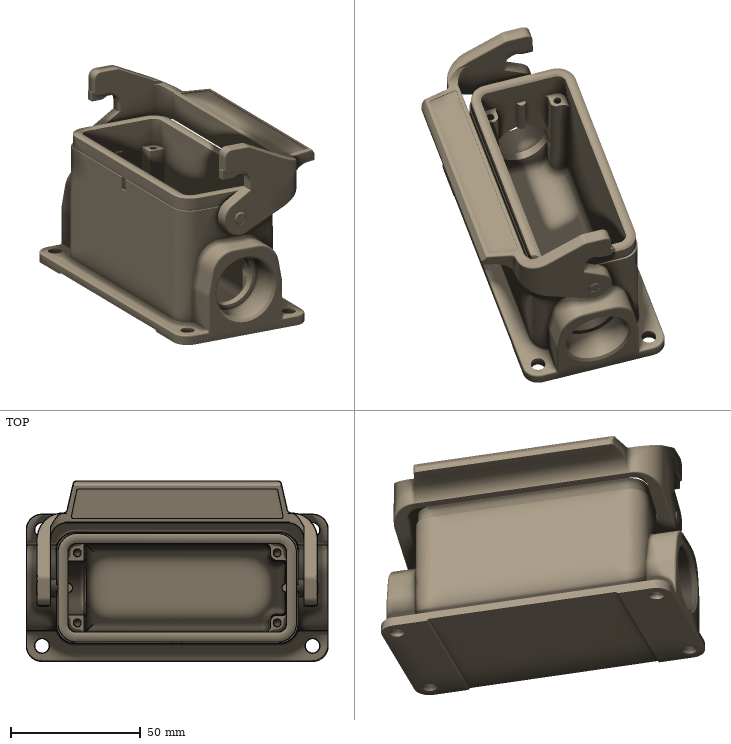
import cadquery as cq
import math

length = 117.0
base_width = 57.1
base_height = 4.0
base_corner_radius = 6.1
base_edge_radius = 0.7
screw_hole_diameter = 5.6
foot_recess_length = 77.2
foot_recess_height = 0.7

body_length = 94.3
body_width = 43.8
body_corner_radius = 7.6
shoulder_height = 50.0
wall_draft = 0.5
root_radius = 0.7
rim_length = 92.4
rim_width = 42.1
rim_corner_radius = 7.4
rim_height = 55.5
rim_side_height = 55.0
rim_wall = 3.9

cavity_length = rim_length - 2 * rim_wall
cavity_width = rim_width - 2 * rim_wall
cavity_corner_radius = 3.4
cavity_draft = 0.7
cavity_straight_height = 50.9
floor_height = 3.5
floor_radius = 3.0

boss_axis_height = 18.8
boss_half_width = 16.6
boss_height = 36.0
boss_side_height = 19.0
boss_shoulder_half_width = 15.0
boss_shoulder_height = 27.8
boss_top_half_width = 4.9
boss_edge_radius = 0.9
boss_bend_radius = 9.4
entry_bore_diameter = 25.0
entry_bore_depth = 13.3
entry_chamfer = 0.9
entry_hole_diameter = 21.0

pillar_height = 44.2
pillar_x = 38.7
pillar_y = 13.6
pillar_inner_x = 36.2
pillar_inner_y = 10.6
pillar_corner_radius = 2.3
pillar_draft = 0.9
pillar_end_blend = 1.2
pillar_side_blend = 2.3
pillar_hole_diameter = 3.0
pillar_hole_depth = 9.4
drill_tip_angle = 118.0
partition_bottom_x = 35.1
partition_edge = 1.0
rib_radius = 1.8
notch_width = 3.4
notch_height = 4.8
notch_depth = 0.7

pivot_height = 46.7
pivot_boss_diameter = 7.0
pivot_pin_diameter = 5.1
pivot_pin_chamfer = 0.6
pivot_pin_reach = 54.6

arm_outer = 54.3
arm_inner = 49.0
arm_end_radius = 7.0
handle_top = 75.6
handle_corner_outer = 10.1
handle_corner_inner = 6.1
handle_edge_radius = 0.6
bridge_bevel = 0.4
bridge_outer_y = 29.0
bridge_inner_y = 25.2
bridge_top = 63.8
bridge_bottom = 52.5
bridge_straight = 43.5
bridge_flare_top = 66.2
bridge_flare_bottom = 50.4

hook_front_y = -6.8
hook_underside = 65.9
hook_corner_radius = 3.0
hook_lip_radius = 1.2
slant_start_y = 3.9
slant_corner_radius = 3.0
catch_wall_y = 4.3
catch_arc_radius = 5.0
catch_wall_bottom = 57.6
latch_rib_inner = 50.4
latch_rib_outer = 53.2
latch_tip_y = -7.3
latch_nose_y = -3.6
latch_nose_z = 63.4
latch_crest_y = 0.0
latch_crest_z = 64.6
latch_end_y = 3.9
latch_end_z = 61.8

grip_end_y = 41.4
grip_end_half_width = 40.1
grip_root_half_width = 42.9
grip_root_radius = 1.8
grip_corner_radius = 1.5
grip_bottom = 59.2
grip_flat_y = 37.1
grip_nose_height = 60.8
grip_nose_top_y = 39.7
panel_depth = 0.4
panel_outer_y = 38.4
panel_inner_y = 26.8
panel_outer_half_width = 38.8
panel_inner_half_width = 41.2
panel_corner_radius = 0.9

SIDES = (-1, 1)


def rounded_block(size_x, size_y, bottom, top, radius, draft=0.0):
    """Upright block with rounded corners; draft narrows it upwards."""
    outline = cq.Sketch().rect(size_x, size_y).vertices().fillet(radius)
    return cq.Workplane("XY", origin=(0, 0, bottom)).placeSketch(outline).extrude(top - bottom, taper=draft)


def box(x_range, y_range, z_range):
    """Box between two limits on each axis."""
    sizes = [high - low for low, high in (x_range, y_range, z_range)]
    corner = cq.Vector(x_range[0], y_range[0], z_range[0])
    return cq.Workplane(cq.Solid.makeBox(*sizes, corner))


def x_cylinder(side, diameter, x_start, x_end, height, y=0.0):
    """Cylinder along X on one side of the part."""
    start = cq.Vector(side * x_start, y, height)
    direction = cq.Vector(side * math.copysign(1, x_end - x_start), 0, 0)
    return cq.Workplane(cq.Solid.makeCylinder(diameter / 2, abs(x_end - x_start), start, direction))


def base_plate():
    plate = rounded_block(length, base_width, 0, base_height, base_corner_radius)
    plate = plate.faces(">Z").edges().fillet(base_edge_radius)
    hole_x = length / 2 - base_corner_radius
    hole_y = base_width / 2 - base_corner_radius
    plate = (
        plate.faces(">Z").workplane(origin=(0, 0, base_height))
        .rect(2 * hole_x, 2 * hole_y, forConstruction=True).vertices().hole(screw_hole_diameter)
    )
    half = foot_recess_length / 2
    recess = (
        cq.Workplane("XZ")
        .polyline([
            (-half, 0),
            (half, 0),
            (half - foot_recess_height, foot_recess_height),
            (foot_recess_height - half, foot_recess_height),
        ])
        .close().extrude(base_width / 2, both=True)
    )
    return plate.cut(recess)


def outer_wall():
    body = rounded_block(
        body_length, body_width, base_height, shoulder_height, body_corner_radius, wall_draft
    )
    rim = rounded_block(rim_length, rim_width, shoulder_height, rim_side_height, rim_corner_radius)
    return body.union(rim)


def rim_crown():
    """Domed top of the rim, swept once around it."""
    path_block = rounded_block(
        rim_length - rim_wall, rim_width - rim_wall, 0, rim_side_height, rim_corner_radius - rim_wall / 2
    )
    path = path_block.faces(">Z").wires()
    start_y = (rim_wall - rim_width) / 2
    return (
        cq.Workplane("YZ", origin=(0, start_y, rim_side_height))
        .moveTo(-rim_wall / 2, 0)
        .threePointArc((0, rim_height - rim_side_height), (rim_wall / 2, 0))
        .close()
        .sweep(path)
    )


def entry_boss(side):
    """Arched cable entry block that stands on the base plate."""
    left = [
        (-boss_half_width, base_height / 2),
        (-boss_half_width, boss_side_height),
        (-boss_shoulder_half_width, boss_shoulder_height),
    ]
    boss = (
        cq.Workplane("YZ").polyline(left)
        .tangentArcPoint((-boss_top_half_width, boss_height), relative=False)
        .lineTo(0, boss_height).lineTo(0, base_height / 2).close()
        .extrude(side * length / 2)
    )
    boss = boss.edges(cq.selectors.NearestToPointSelector(
        (side * length / 4, -boss_half_width, boss_side_height)
    )).fillet(boss_bend_radius)
    boss = boss.union(boss.mirror("XZ"))
    outer_face = boss.faces(">X" if side > 0 else "<X")
    arch_edges = outer_face.edges("not <Z")
    boss = boss.newObject(arch_edges.vals()).fillet(boss_edge_radius)
    return boss


def entry_bore(side):
    """Bore from outside, mouth chamfer and the smaller hole through the wall."""
    bore_floor = length / 2 - entry_bore_depth
    bore = x_cylinder(side, entry_bore_diameter, length / 2, bore_floor, boss_axis_height)
    mouth = cq.Solid.makeCone(
        entry_bore_diameter / 2 + entry_chamfer,
        entry_bore_diameter / 2,
        entry_chamfer,
        cq.Vector(side * length / 2, 0, boss_axis_height),
        cq.Vector(-side, 0, 0),
    )
    hole = x_cylinder(side, entry_hole_diameter, bore_floor, partition_bottom_x - 1.2, boss_axis_height)
    return bore.union(cq.Workplane(mouth)).union(hole)


def cavity():
    """Inner room around the pillars and the partition, with a rounded floor."""
    room = rounded_block(
        cavity_length, cavity_width, -cavity_straight_height, -floor_height, cavity_corner_radius, cavity_draft
    ).mirror("XY")
    for side_y in SIDES:
        for side_x in SIDES:
            room = room.cut(pillar(side_x, side_y))
    room = room.cut(partition())
    middle = (floor_height + pillar_height) / 2
    joints = [
        (cavity_length / 2, pillar_inner_y, pillar_end_blend),
        (pillar_inner_x, cavity_width / 2, pillar_side_blend),
    ]
    for x, y, blend in joints:
        front_joint = room.edges(cq.selectors.NearestToPointSelector((x, -y, middle))).vals()
        back_joint = room.edges(cq.selectors.NearestToPointSelector((x, y, middle))).vals()
        room = room.newObject(front_joint + back_joint).fillet(blend)
    room = room.faces("<Z").edges().fillet(floor_radius)
    upper_room = rounded_block(
        cavity_length, cavity_width, cavity_straight_height, rim_height, cavity_corner_radius
    )
    return room.union(upper_room)


def pillar(side_x, side_y):
    """Corner pillar; its outer faces run into the housing wall."""
    buried = pillar_corner_radius
    size_x = cavity_length / 2 - pillar_inner_x + buried
    size_y = cavity_width / 2 - pillar_inner_y + buried
    post = (
        rounded_block(size_x, size_y, -pillar_height, 1.2 - floor_height, pillar_corner_radius, -pillar_draft)
        .mirror("XY")
        .translate((pillar_inner_x + size_x / 2, pillar_inner_y + size_y / 2, 0))
    )
    if side_x < 0:
        post = post.mirror("YZ")
    if side_y < 0:
        post = post.mirror("XZ")
    return post


def pillar_hole(side_x, side_y):
    """Blind drilled hole with a conical tip."""
    radius = pillar_hole_diameter / 2
    tip = radius / math.tan(math.radians(drill_tip_angle / 2))
    return (
        cq.Workplane("XZ")
        .polyline([(0, 0), (radius, 0), (radius, -pillar_hole_depth), (0, -pillar_hole_depth - tip)])
        .close().revolve(360, (0, 0, 0), (0, 1, 0))
        .translate((side_x * pillar_x, side_y * pillar_y, pillar_height))
    )


def partition():
    """Leaning inner wall at the -X end."""
    outer_x = cavity_length / 2 + 1.2
    return (
        cq.Workplane("XZ")
        .polyline([
            (-outer_x, floor_height - 1.2),
            (-partition_bottom_x, floor_height - 1.2),
            (-pillar_inner_x, pillar_height),
            (-outer_x, pillar_height),
        ])
        .close().extrude(cavity_width / 2 + 1.2, both=True)
    )


def opening_outline(face_x, radius, top):
    """U-shaped outline around the cable entry axis."""
    return (
        cq.Workplane("YZ", origin=(face_x, 0, 0))
        .moveTo(-radius, top).lineTo(-radius, boss_axis_height)
        .threePointArc((0, boss_axis_height - radius), (radius, boss_axis_height))
        .lineTo(radius, top).close()
    )


def partition_opening():
    """Upward open passage through the partition with a bevelled edge."""
    radius = entry_hole_diameter / 2
    face_x = -partition_bottom_x
    passage = opening_outline(-cavity_length / 2, radius, pillar_height).extrude(cavity_length / 2 + face_x)
    bevel = (
        opening_outline(face_x, radius + partition_edge, pillar_height + partition_edge)
        .extrude(-partition_edge, taper=45)
    )
    return passage.union(bevel)


def key_rib(side):
    """Half round rib that hangs on the end wall above the cable entry."""
    rib = cq.Workplane("XY", origin=(side * cavity_length / 2, 0, boss_axis_height))
    return rib.circle(rib_radius).extrude(pillar_height - boss_axis_height)


def pivot(side):
    """Round boss on the end wall that carries the handle pin."""
    boss = x_cylinder(side, pivot_boss_diameter, rim_length / 2 - 1.2, arm_inner, pivot_height)
    pin = x_cylinder(side, pivot_pin_diameter, rim_length / 2 - 1.2, pivot_pin_reach, pivot_height)
    pin = pin.faces(">X" if side > 0 else "<X").chamfer(pivot_pin_chamfer)
    return boss.union(pin)


def front_notch():
    """Shallow slot below the shoulder in the middle of the front wall."""
    wall_y = rim_width / 2
    return box(
        (-notch_width / 2, notch_width / 2),
        (-body_width / 2, notch_depth - wall_y - 0.4),
        (shoulder_height - notch_height, shoulder_height),
    )


def root_edges(body):
    """Edges where wall and bosses rise from the plate, and where the bosses leave the wall."""
    inset = base_edge_radius + 0.1
    reach_x = length / 2 - inset
    reach_y = base_width / 2 - inset
    on_plate = cq.selectors.BoxSelector(
        (-reach_x, -reach_y, base_height - 0.1), (reach_x, reach_y, base_height + 0.1)
    )
    hole_radius = screw_hole_diameter / 2
    edges = [
        edge for edge in body.edges(on_plate).vals()
        if edge.geomType() != "CIRCLE" or edge.radius() > hole_radius + 0.1
    ]
    for side in SIDES:
        wall_x = side * body_length / 2
        on_wall = cq.selectors.BoxSelector(
            (wall_x - 1.2, -boss_half_width - 0.6, base_height + 0.1),
            (wall_x + 1.2, boss_half_width + 0.6, boss_height + 0.6),
        )
        edges += body.edges(on_wall).vals()
    return edges


def make_housing():
    body = base_plate().union(outer_wall())
    for side in SIDES:
        body = body.union(entry_boss(side))
    body = body.newObject(root_edges(body)).fillet(root_radius)
    body = body.cut(cavity()).cut(partition_opening()).union(rim_crown())
    for side in SIDES:
        body = body.union(key_rib(side)).union(pivot(side))
        for side_y in SIDES:
            body = body.cut(pillar_hole(side, side_y))
    for side in SIDES:
        body = body.cut(entry_bore(side))
    return body.cut(front_notch())


def tangent_point(y, z, turn):
    """Point where a line from (y, z) touches the round arm end."""
    dz = z - pivot_height
    distance = math.hypot(y, dz)
    angle = math.atan2(dz, y) + turn * math.acos(arm_end_radius / distance)
    return (arm_end_radius * math.cos(angle), pivot_height + arm_end_radius * math.sin(angle))


def arm_profile():
    """Side outline of the arm with its hook, extruded across the part."""
    upper = tangent_point(catch_wall_y, catch_wall_bottom, 1)
    lower = tangent_point(bridge_outer_y, bridge_bottom, -1)
    arc_centre_y = catch_wall_y - catch_arc_radius
    arc_centre_z = hook_underside - catch_arc_radius
    arc_offset = catch_arc_radius * math.sqrt(0.5)
    profile = (
        cq.Workplane("YZ")
        .moveTo(bridge_outer_y, bridge_bottom)
        .lineTo(bridge_outer_y, bridge_top)
        .lineTo(slant_start_y, handle_top)
        .lineTo(hook_front_y + hook_corner_radius, handle_top)
        .tangentArcPoint((hook_front_y, handle_top - hook_corner_radius), relative=False)
        .lineTo(hook_front_y, hook_underside + hook_lip_radius)
        .tangentArcPoint((hook_front_y + hook_lip_radius, hook_underside), relative=False)
        .lineTo(arc_centre_y, hook_underside)
        .threePointArc((arc_centre_y + arc_offset, arc_centre_z + arc_offset), (catch_wall_y, arc_centre_z))
        .lineTo(catch_wall_y, catch_wall_bottom)
        .lineTo(*upper)
        .threePointArc((-arm_end_radius, pivot_height), lower)
        .close()
    )
    solid = profile.extrude(arm_outer, both=True)
    slant_corner = cq.selectors.NearestToPointSelector((0, slant_start_y, handle_top))
    return solid.edges(slant_corner).fillet(slant_corner_radius)


def bow_plan():
    """U-shaped plan of the two arms and the back."""
    front = -2 * arm_end_radius
    outer = box((-arm_outer, arm_outer), (front, bridge_outer_y), (0, handle_top))
    outer = outer.edges("|Z and >Y").fillet(handle_corner_outer)
    inner = box((-arm_inner, arm_inner), (front, bridge_inner_y), (0, handle_top))
    inner = inner.edges("|Z and >Y").fillet(handle_corner_inner)
    return outer.cut(inner)


def bridge_relief(edge, flare, limit):
    """Material removed over or under the back, ending in a curve on each arm."""
    tangent_out = (1, 0)
    end_slope = (1, 2 * (flare - edge) / (arm_inner - bridge_straight))
    relief = (
        cq.Workplane("XZ")
        .moveTo(0, edge).lineTo(bridge_straight, edge)
        .spline([(arm_inner, flare)], tangents=[tangent_out, end_slope], includeCurrent=True)
        .lineTo(arm_inner, limit).lineTo(0, limit).close()
        .extrude(-bridge_outer_y)
    )
    return relief.union(relief.mirror("YZ"))


def grip():
    """Trapezoid grip that stands out behind the back."""
    root_y = bridge_outer_y
    lean = (grip_root_half_width - grip_end_half_width) / (grip_end_y - root_y)
    blend_x = grip_root_half_width - lean * grip_root_radius
    blend_y = root_y + grip_root_radius
    blend_offset = grip_root_radius * math.sqrt(0.5)
    plan = (
        cq.Workplane("XY")
        .moveTo(0, bridge_inner_y)
        .lineTo(grip_root_half_width, bridge_inner_y)
        .lineTo(blend_x + grip_root_radius, root_y)
        .threePointArc(
            (blend_x + grip_root_radius - blend_offset, blend_y - blend_offset),
            (blend_x, blend_y),
        )
        .lineTo(grip_end_half_width, grip_end_y)
        .lineTo(0, grip_end_y).close()
        .extrude(handle_top)
        .edges("|Z and >Y").edges(">X").fillet(grip_corner_radius)
    )
    plan = plan.union(plan.mirror("YZ"))
    drop = grip_bottom - bridge_bottom
    run = grip_flat_y - root_y
    curve_radius = (run**2 + drop**2) / (2 * drop)
    section = (
        cq.Workplane("YZ")
        .moveTo(bridge_inner_y, bridge_top)
        .lineTo(grip_nose_top_y, bridge_top)
        .lineTo(grip_end_y, grip_nose_height)
        .lineTo(grip_end_y, grip_bottom)
        .lineTo(grip_flat_y, grip_bottom)
        .radiusArc((root_y, bridge_bottom), -curve_radius)
        .lineTo(bridge_inner_y, bridge_bottom)
        .close().extrude(length / 2, both=True)
    )
    block = plan.intersect(section)
    behind_bridge = cq.selectors.BoxSelector((-length, root_y, 0), (length, length, length))
    return block.faces(">Z").edges(behind_bridge).fillet(handle_edge_radius)


def bridge_edge():
    """Bevel along the upper inner edge of the back."""
    return (
        cq.Workplane("YZ", origin=(-bridge_straight, 0, 0))
        .moveTo(bridge_inner_y, bridge_top)
        .lineTo(bridge_inner_y + bridge_bevel, bridge_top)
        .lineTo(bridge_inner_y, bridge_top - bridge_bevel)
        .close().extrude(2 * bridge_straight)
    )


def grip_panel():
    """Shallow sunk field on top of the grip."""
    return (
        cq.Workplane("XY", origin=(0, 0, bridge_top - panel_depth))
        .polyline([
            (-panel_inner_half_width, panel_inner_y),
            (panel_inner_half_width, panel_inner_y),
            (panel_outer_half_width, panel_outer_y),
            (-panel_outer_half_width, panel_outer_y),
        ])
        .close().extrude(2 * panel_depth)
        .edges("|Z").fillet(panel_corner_radius)
    )


def latch_rib(side):
    """Narrow rib with a nose under the hook that grips the mating hood."""
    rib = (
        cq.Workplane("YZ", origin=(side * latch_rib_inner, 0, 0))
        .moveTo(latch_tip_y, hook_underside + hook_lip_radius)
        .lineTo(latch_tip_y, latch_nose_z)
        .lineTo(latch_nose_y, latch_nose_z)
        .spline(
            [(latch_crest_y, latch_crest_z), (latch_end_y, latch_end_z)],
            tangents=[(1, 0), (1, 0), (0, -1)],
            includeCurrent=True,
        )
        .lineTo(catch_wall_y + hook_lip_radius, latch_end_z)
        .lineTo(catch_wall_y + hook_lip_radius, hook_underside + hook_lip_radius)
        .close().extrude(side * (latch_rib_outer - latch_rib_inner))
    )
    return rib


def make_handle():
    bow = bow_plan().intersect(arm_profile())
    rounded_edges = bow.faces("<X or >X").edges().vals()
    for side in SIDES:
        inner_face = bow.faces(cq.selectors.NearestToPointSelector((side * arm_inner, 0, bridge_top)))
        rounded_edges += inner_face.edges("not |Z").vals()
    bow = bow.newObject(rounded_edges).fillet(handle_edge_radius)
    bow = bow.cut(bridge_relief(bridge_top, bridge_flare_top, handle_top))
    bow = bow.cut(bridge_relief(bridge_bottom, bridge_flare_bottom, pivot_height - arm_end_radius))
    bow = bow.union(grip()).cut(grip_panel()).cut(bridge_edge())
    for side in SIDES:
        bow = bow.union(latch_rib(side))
        bow = bow.cut(x_cylinder(side, pivot_pin_diameter, 0, arm_outer + 1.2, pivot_height))
    return bow


housing = make_housing()
handle = make_handle()

result = cq.Compound.makeCompound([housing.solids().val(), handle.solids().val()])